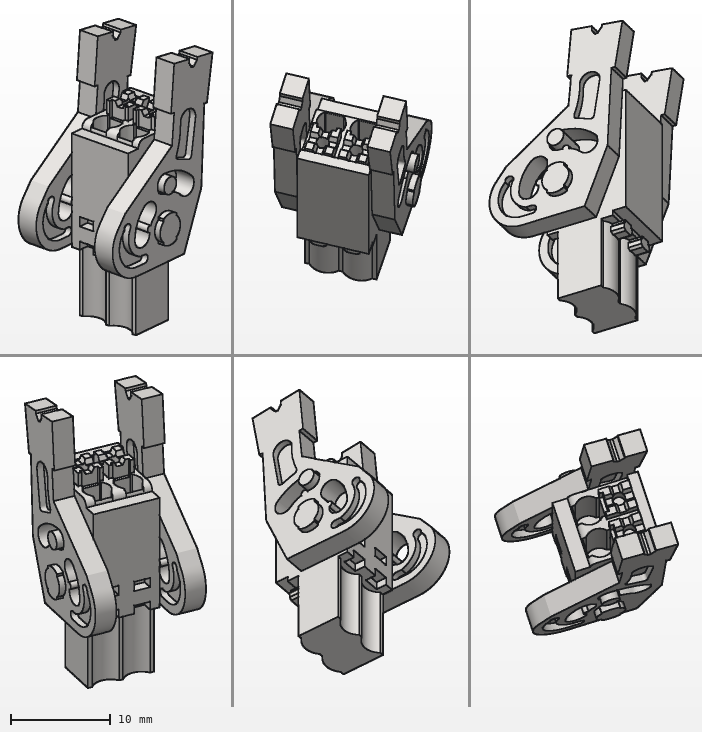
import cadquery as cq
import math


HOUSING_WIDTH = 7.45
HOUSING_FRONT = -2.72
HOUSING_BACK = 6.27
HOUSING_BOTTOM = 7.9
BACK_BOTTOM = 8.45
BACK_STEP_Y = 4.8
HOUSING_TOP = 21.22
BACK_WALL_TOP = 22.35
BACK_WALL_INNER = 5.12
LEDGE_Z = 20.4
LEDGE_BACK = -1.15

PLUG_FRONT = -1.55
PLUG_BACK = 3.43
GROOVE_PITCH = 3.5
GROOVE_CHORD = 3.05
GROOVE_DEPTH = 0.77
BULGE_HEIGHT = 0.62
KNOB_BACK = 5.45
KNOB_BOTTOM = 6.65
KNOB_HALF_WIDTH = 0.8
KNOB_NECK_HALF_WIDTH = 0.62
KNOB_FOOT_HALF_WIDTH = 0.53
KNOB_NECK_HEIGHT = 0.27
KNOB_FOOT_HEIGHT = 0.27

WINDOW_PITCH = 3.55
WINDOW_WIDTH = 1.78
WINDOW_BOTTOM = 10.47
WINDOW_TOP = 11.55
WINDOW_DEPTH = 1.18
NOTCH_TOP = 8.82

BAY_OFFSET = 0.1
BAY_PITCH = 3.5
WIRE_HOLE_RADIUS = 1.48
WIRE_HOLE_Y = 0.45
WIRE_HOLE_FLOOR = 13.32
WIRE_SLOT_WIDTH = 2.0
WIRE_SLOT_FRONT = -1.05
WEB_TOP = 20.8

CLAMP_WIDTH = 2.85
CLAMP_FRONT = 1.85
CLAMP_BOTTOM = 17.75
CLAMP_TOP = 22.7
CLAMP_RECESS_DEPTH = 0.38
CLAMP_CENTRE_Y = 3.6
CROSS_TOP_WIDTH = 1.25
CROSS_FLOOR_WIDTH = 0.65
CROSS_DEPTH = 0.55
CLAMP_HOLE_RADIUS = 0.65
CLAMP_HOLE_DEPTH = 2.37

LEVER_INNER = 3.88
LEVER_THICKNESS = 2.37
LEVER_OUTER = LEVER_INNER + LEVER_THICKNESS
TRUNNION_END = 6.95
PIVOT_Z = 12.1
PIVOT_RADIUS = 1.55
PIVOT_NECK_HEIGHT = 2.87
LOBE_RADIUS = 1.75
LOBE_WIDTH = 1.98
GUIDE_PIN_RADIUS = 0.95
GUIDE_RADIUS = 4.8
STOP_RADIUS = 3.45
SLOT_HALF_WIDTH = 1.12
SLOT_SWEEP = -44
GUIDE_SLOT_START = 90
STOP_SLOT_START = 178.5
DETENT_ANGLE = -12.5
DETENT_RADIUS = 0.38
POCKET_DEPTH = 0.77
POCKET_CORNER_RADIUS = 0.38
RIM_Y = -4.23
RIM_Z = 11.92
RIM_RADIUS = 3.75
RIM_START = 138
RIM_BOTTOM = 270
CRESCENT_RADIUS = 2.72

BAY_CENTRES = [BAY_OFFSET + side * BAY_PITCH / 2 for side in (-1, 1)]


def block(x_range, y_range, z_range):
    """Box given by its limits along the three axes."""
    (x0, x1), (y0, y1), (z0, z1) = x_range, y_range, z_range
    return cq.Workplane("XY").box(x1 - x0, y1 - y0, z1 - z0, centered=False).translate((x0, y0, z0))


def centred(middle, width):
    """Limits of a stretch of the given width about its middle."""
    return (middle - width / 2, middle + width / 2)


def polar(centre_y, centre_z, radius, degrees):
    """Point in the YZ plane at an angle measured from +Y towards +Z."""
    angle = math.radians(degrees)
    return (centre_y + radius * math.cos(angle), centre_z + radius * math.sin(angle))


def clamp_blank(x):
    """Clamp outline with its front recess, also used to cut the matching bay."""
    body = block(centred(x, CLAMP_WIDTH), (CLAMP_FRONT, BACK_WALL_INNER), (CLAMP_BOTTOM, CLAMP_TOP))
    recess = block(
        centred(x, WIRE_SLOT_WIDTH),
        (CLAMP_FRONT, CLAMP_FRONT + CLAMP_RECESS_DEPTH),
        (CLAMP_BOTTOM, CLAMP_TOP),
    )
    return body.cut(recess)


def cross_slot(plane, length):
    """Trapezoidal groove along the normal of the plane, its mouth at Z = CLAMP_TOP."""
    return (
        cq.Workplane(plane)
        .polyline([
            (-CROSS_TOP_WIDTH / 2, CLAMP_TOP),
            (CROSS_TOP_WIDTH / 2, CLAMP_TOP),
            (CROSS_FLOOR_WIDTH / 2, CLAMP_TOP - CROSS_DEPTH),
            (-CROSS_FLOOR_WIDTH / 2, CLAMP_TOP - CROSS_DEPTH),
        ])
        .close()
        .extrude(length, both=True)
    )


def make_clamp(x):
    """Wire clamp with a cross slot and a round hole in its top."""
    centre = (x, CLAMP_CENTRE_Y, 0)
    hole = (
        cq.Workplane("XY", origin=(0, 0, CLAMP_TOP))
        .circle(CLAMP_HOLE_RADIUS)
        .extrude(-CLAMP_HOLE_DEPTH)
    )
    clamp = clamp_blank(x)
    for cutter in (cross_slot("XZ", CLAMP_WIDTH), cross_slot("YZ", CLAMP_WIDTH), hole):
        clamp = clamp.cut(cutter.translate(centre))
    return clamp


def housing_body():
    """Stepped side profile with a rounded front shoulder."""
    shoulder = HOUSING_TOP - LEDGE_Z
    shoulder_y = LEDGE_BACK + shoulder
    return (
        cq.Workplane("YZ")
        .moveTo(HOUSING_BACK, BACK_BOTTOM)
        .lineTo(HOUSING_BACK, BACK_WALL_TOP)
        .lineTo(BACK_WALL_INNER, BACK_WALL_TOP)
        .lineTo(BACK_WALL_INNER, HOUSING_TOP)
        .lineTo(shoulder_y, HOUSING_TOP)
        .threePointArc(polar(shoulder_y, LEDGE_Z, shoulder, 135), (LEDGE_BACK, LEDGE_Z))
        .lineTo(HOUSING_FRONT, LEDGE_Z)
        .lineTo(HOUSING_FRONT, HOUSING_BOTTOM)
        .lineTo(BACK_STEP_Y, HOUSING_BOTTOM)
        .lineTo(BACK_STEP_Y, BACK_BOTTOM)
        .close()
        .extrude(HOUSING_WIDTH / 2, both=True)
    )


def plug_block():
    """Block with a concave groove in front and a convex bulge behind for each pole."""
    half_width = HOUSING_WIDTH / 2
    half_chord = GROOVE_CHORD / 2
    left, right = -GROOVE_PITCH / 2, GROOVE_PITCH / 2
    outline = cq.Workplane("XY").moveTo(-half_width, PLUG_FRONT)
    for x in (left, right):
        outline = outline.lineTo(x - half_chord, PLUG_FRONT).threePointArc(
            (x, PLUG_FRONT + GROOVE_DEPTH), (x + half_chord, PLUG_FRONT)
        )
    outline = outline.lineTo(half_width, PLUG_FRONT).lineTo(half_width, PLUG_BACK)
    for x in (right, left):
        outline = outline.lineTo(x + half_chord, PLUG_BACK).threePointArc(
            (x, PLUG_BACK + BULGE_HEIGHT), (x - half_chord, PLUG_BACK)
        )
    return outline.lineTo(-half_width, PLUG_BACK).close().extrude(HOUSING_BOTTOM)


def knob(x):
    """Latch knob behind a bulge: a neck that flares out and a tapered foot."""
    flare_top = HOUSING_BOTTOM - KNOB_NECK_HEIGHT
    flare_bottom = flare_top - (KNOB_HALF_WIDTH - KNOB_NECK_HALF_WIDTH)
    half_outline = [
        (KNOB_NECK_HALF_WIDTH, HOUSING_BOTTOM),
        (KNOB_NECK_HALF_WIDTH, flare_top),
        (KNOB_HALF_WIDTH, flare_bottom),
        (KNOB_HALF_WIDTH, KNOB_BOTTOM + KNOB_FOOT_HEIGHT),
        (KNOB_FOOT_HALF_WIDTH, KNOB_BOTTOM),
    ]
    mirrored = [(-px, pz) for px, pz in reversed(half_outline)]
    return (
        cq.Workplane("XZ", origin=(x, PLUG_BACK, 0))
        .polyline(half_outline + mirrored)
        .close()
        .extrude(PLUG_BACK - KNOB_BACK)
    )


def trunnions(side):
    """Guide pin and bayonet pivot that stick out of one side of the housing."""
    start = side * HOUSING_WIDTH / 2
    length = side * TRUNNION_END - start
    root = cq.Workplane("YZ", origin=(start, 0, PIVOT_Z))
    pin = root.center(0, GUIDE_RADIUS).circle(GUIDE_PIN_RADIUS).extrude(length)
    journal = root.circle(PIVOT_RADIUS).extrude(length)
    flats = root.rect(2 * PIVOT_RADIUS, PIVOT_NECK_HEIGHT).extrude(length)
    head = cq.Workplane("YZ", origin=(side * LEVER_OUTER, 0, PIVOT_Z))
    head_length = side * (TRUNNION_END - LEVER_OUTER)
    lobe_band = head.rect(LOBE_WIDTH, 2 * LOBE_RADIUS).extrude(head_length)
    lobes = head.circle(LOBE_RADIUS).extrude(head_length).intersect(lobe_band)
    disc = head.circle(PIVOT_RADIUS).extrude(head_length)
    return journal.intersect(flats).union(disc).union(lobes).union(pin)


def wire_hole(x):
    """Round wire entry with flat front and back, open above the web that parts it from the clamp."""
    depth = (WIRE_HOLE_FLOOR, HOUSING_TOP)
    flats = (WIRE_SLOT_FRONT, CLAMP_FRONT)
    bore = (
        cq.Workplane("XY", origin=(x, WIRE_HOLE_Y, WIRE_HOLE_FLOOR))
        .circle(WIRE_HOLE_RADIUS)
        .extrude(HOUSING_TOP - WIRE_HOLE_FLOOR)
        .intersect(block(centred(x, 2 * WIRE_HOLE_RADIUS), flats, depth))
    )
    slot = block(centred(x, WIRE_SLOT_WIDTH), flats, depth)
    web_relief = block(
        centred(x, WIRE_SLOT_WIDTH),
        (CLAMP_FRONT, CLAMP_FRONT + CLAMP_RECESS_DEPTH),
        (WEB_TOP, HOUSING_TOP),
    )
    return bore.union(slot).union(web_relief)


def front_window(x, bottom, top):
    """Rectangular recess in the housing front."""
    depth = (HOUSING_FRONT, HOUSING_FRONT + WINDOW_DEPTH)
    return block(centred(x, WINDOW_WIDTH), depth, (bottom, top))


def make_housing():
    """Housing with its plug block, trunnions, bays and front openings."""
    housing = housing_body().union(plug_block())
    for side in (-1, 1):
        housing = housing.union(knob(side * GROOVE_PITCH / 2)).union(trunnions(side))
    for x in BAY_CENTRES:
        housing = housing.cut(clamp_blank(x)).cut(wire_hole(x))
    for side in (-1, 1):
        x = side * WINDOW_PITCH / 2
        housing = housing.cut(front_window(x, WINDOW_BOTTOM, WINDOW_TOP))
        housing = housing.cut(front_window(x, HOUSING_BOTTOM, NOTCH_TOP))
    return housing


def lever_plate():
    """Notched handle that widens into a plate with a round rim at the front."""
    return (
        cq.Workplane("YZ", origin=(LEVER_INNER, 0, 0))
        .polyline([
            (2.95, RIM_Z - RIM_RADIUS),
            (5.6, 14.55),
            (6.05, 23.6),
            (6.45, 23.6),
            (7.3, 28.82),
            (4.97, 29.12),
            (4.9, 28.82),
            (4.4, 28.25),
            (4.1, 28.25),
            (3.75, 28.82),
            (3.75, 29.3),
            (1.42, 29.6),
            (0.95, 24.23),
            (1.42, 24.2),
            (1.1, 20.68),
            (-6.07, 15.65),
            polar(RIM_Y, RIM_Z, RIM_RADIUS, RIM_START),
        ])
        .threePointArc(
            polar(RIM_Y, RIM_Z, RIM_RADIUS, 180), polar(RIM_Y, RIM_Z, RIM_RADIUS, RIM_BOTTOM)
        )
        .close()
        .extrude(LEVER_THICKNESS)
    )


def arc_slot(radius, start):
    """Round-ended slot about the pivot, with a detent bump on its inner edge."""
    end = start + SLOT_SWEEP
    outer = radius + SLOT_HALF_WIDTH
    inner = radius - SLOT_HALF_WIDTH
    middle = (start + end) / 2

    def about_pivot(distance, degrees):
        return polar(0, PIVOT_Z, distance, degrees)

    start_y, start_z = about_pivot(radius, start)
    end_y, end_z = about_pivot(radius, end)
    base = cq.Workplane("YZ", origin=(LEVER_INNER, 0, 0))
    slot = (
        base.moveTo(*about_pivot(outer, start))
        .threePointArc(about_pivot(outer, middle), about_pivot(outer, end))
        .threePointArc(polar(end_y, end_z, SLOT_HALF_WIDTH, end - 90), about_pivot(inner, end))
        .threePointArc(about_pivot(inner, middle), about_pivot(inner, start))
        .threePointArc(
            polar(start_y, start_z, SLOT_HALF_WIDTH, start + 90), about_pivot(outer, start)
        )
        .close()
        .extrude(LEVER_THICKNESS)
    )
    bump = base.moveTo(*about_pivot(inner, start + DETENT_ANGLE)).circle(DETENT_RADIUS)
    return slot.cut(bump.extrude(LEVER_THICKNESS))


def handle_pocket():
    """Pocket in the handle with a round top and a slanted lower edge."""
    return (
        cq.Workplane("YZ")
        .moveTo(4.68, 22.52)
        .threePointArc((3.55, 23.88), (2.4, 22.85))
        .threePointArc((2.25, 20.98), (1.63, 19.05))
        .lineTo(4.0, 18.17)
        .close()
        .extrude(POCKET_DEPTH)
        .edges("|X")
        .edges("<Z or <Y")
        .fillet(POCKET_CORNER_RADIUS)
    )


def crescent_pocket():
    """Tapered pocket along the rim."""
    lower_edge = RIM_Z - CRESCENT_RADIUS
    upper_end = polar(RIM_Y, RIM_Z, CRESCENT_RADIUS, 135)
    return (
        cq.Workplane("YZ")
        .moveTo(*upper_end)
        .threePointArc((-5.68, 14.4), (-5.25, 13.85))
        .threePointArc((-5.45, 11.9), (-3.75, 10.15))
        .lineTo(-3.05, 10.15)
        .threePointArc((-2.6, 9.68), (-3.05, lower_edge))
        .lineTo(RIM_Y, lower_edge)
        .threePointArc(polar(RIM_Y, RIM_Z, CRESCENT_RADIUS, 200), upper_end)
        .close()
        .extrude(POCKET_DEPTH)
    )


def make_lever(side):
    """Lever on one side; both faces carry the same pockets, and the left one is the mirror image."""
    lever = lever_plate()
    bore = cq.Workplane("YZ", origin=(LEVER_INNER, 0, PIVOT_Z)).circle(PIVOT_RADIUS)
    lever = lever.cut(bore.extrude(LEVER_THICKNESS))
    lever = lever.cut(arc_slot(GUIDE_RADIUS, GUIDE_SLOT_START))
    lever = lever.cut(arc_slot(STOP_RADIUS, STOP_SLOT_START))
    for face_x in (LEVER_INNER, LEVER_OUTER - POCKET_DEPTH):
        for pocket in (handle_pocket(), crescent_pocket()):
            lever = lever.cut(pocket.translate((face_x, 0, 0)))
    return lever if side > 0 else lever.mirror("YZ")


housing = make_housing()
levers = [make_lever(side) for side in (-1, 1)]
clamps = [make_clamp(x) for x in BAY_CENTRES]

result = cq.Compound.makeCompound([
    housing.val(),
    *[lever.val() for lever in levers],
    *[clamp.val() for clamp in clamps],
])